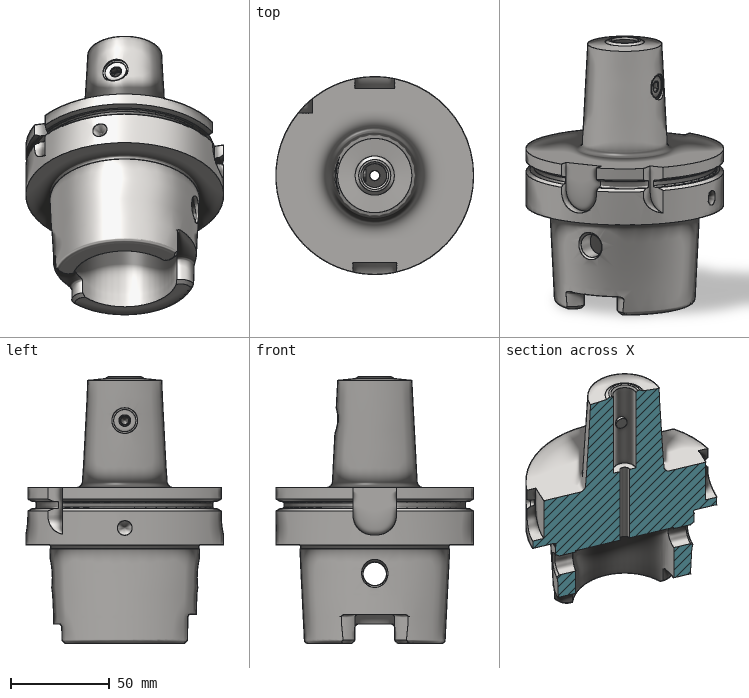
import cadquery as cq
import math


FLANGE_RADIUS = 50.0
FLANGE_HEIGHT = 29.0
GROOVE_CENTRE_Z = 20.1
GROOVE_MOUTH_WIDTH = 6.1
GROOVE_FLOOR_WIDTH = 3.7
GROOVE_BEVEL_ANGLE = 30.0
GROOVE_FLOOR_RADIUS = 45.9
GROOVE_FLOOR_FILLET = 0.8

SHANK_LENGTH = 49.9
SHANK_GAUGE_RADIUS = 37.5
SHANK_GAUGE_Z = -10.0
SHANK_TAPER = 1 / 9.98
SHANK_END_FILLET = 2.0
RELIEF_ROOT_RADIUS = 37.5
RELIEF_FACE_RADIUS = 38.4
RELIEF_CORNER = 0.9
RELIEF_LENGTH = 1.8
SHANK_BORE_RADIUS = 26.5
SHANK_BORE_TOP_Z = -8.0

TOTAL_TOP_Z = 85.0
NOSE_TOP_Z = 83.1
NOSE_TOP_RADIUS = 18.75
NOSE_HALF_ANGLE = 3.0
NOSE_ROOT_FILLET = 3.0
COLLAR_BASE_RADIUS = 9.9
COLLAR_BASE_Z = 84.0
COLLAR_TOP_RADIUS = 8.1

TOOL_BORE_RADIUS = 6.0
TOOL_BORE_DEPTH = 49.0
TOOL_BORE_CHAMFER = 1.0
COOLANT_RADIUS = 2.5

SCREW_Z = 62.75
SCREW_SEAT_RADIUS = 6.5
SCREW_RADIUS = 5.6
SCREW_SEAT_X = -18.4
SCREW_FACE_X = -17.9
SCREW_TIP_X = -4.3
SCREW_TIP_RADIUS = 3.0
SOCKET_FLATS = 5.0
SOCKET_DEPTH = 4.0
SOCKET_MOUTH_RADIUS = 2.95
SOCKET_CONE_RADIUS = 2.0
SOCKET_CONE_DEPTH = 1.2

SLOT_FLOOR_Y = 44.0
SLOT_END_Z = 5.0
SLOT_CORNER_RADIUS = 10.0
REAR_SLOT_WIDTH = 20.0
FRONT_SLOT_WIDTH = 22.0
NOTCH_WALL_X = -31.5
NOTCH_FLOOR_Y = 31.5

DIMPLE_Z = 8.5
DIMPLE_RADIUS = 3.7
DIMPLE_DEPTH = 3.7

CROSS_HOLE_Z = -14.7
CROSS_HOLE_RADIUS = 5.9
CROSS_SINK_START_Y = 35.6
CROSS_SINK_HALF_ANGLE = 35.0

KEYWAY_WIDTH = 20.0
FRONT_KEYWAY_TOP_Z = -35.1
REAR_KEYWAY_TOP_Z = -40.1
KEYWAY_CREST_Y = 31.85
KEYWAY_CORNER_RADIUS = 6.9
KEYWAY_RUNOUT_ANGLE = 25.0
KEYWAY_TOP_FILLET = 1.7
KEYWAY_END_CHAMFER = 1.7

MARGIN = 5.0


def tan_deg(angle):
    return math.tan(math.radians(angle))


def shank_radius(z):
    return SHANK_GAUGE_RADIUS + (z - SHANK_GAUGE_Z) * SHANK_TAPER / 2


def revolve_z(profile):
    return profile.close().revolve(360, (0, 0, 0), (0, 1, 0))


def cone_along(radius_start, radius_end, start, direction, length):
    """Cone or cylinder starting at a point and running along a direction."""
    origin = cq.Vector(*start)
    axis = cq.Vector(*direction)
    if radius_start == radius_end:
        return cq.Workplane(cq.Solid.makeCylinder(radius_start, length, origin, axis))
    return cq.Workplane(cq.Solid.makeCone(radius_start, radius_end, length, origin, axis))


def make_shank():
    cone_start_z = -RELIEF_LENGTH - (shank_radius(-RELIEF_LENGTH) - RELIEF_ROOT_RADIUS)
    profile = (
        cq.Workplane("XZ")
        .moveTo(0, -SHANK_LENGTH)
        .lineTo(shank_radius(-SHANK_LENGTH), -SHANK_LENGTH)
        .lineTo(shank_radius(cone_start_z), cone_start_z)
        .lineTo(RELIEF_ROOT_RADIUS, -RELIEF_LENGTH)
        .lineTo(RELIEF_ROOT_RADIUS, -RELIEF_CORNER)
        .radiusArc((RELIEF_FACE_RADIUS, 0), RELIEF_CORNER)
        .lineTo(0, 0)
    )
    return revolve_z(profile)


def make_flange():
    half_mouth = GROOVE_MOUTH_WIDTH / 2
    half_floor = GROOVE_FLOOR_WIDTH / 2
    fillet = GROOVE_FLOOR_FILLET
    bevel_radius = FLANGE_RADIUS - (half_mouth - half_floor) / tan_deg(GROOVE_BEVEL_ANGLE)
    profile = (
        cq.Workplane("XZ")
        .moveTo(0, 0)
        .lineTo(FLANGE_RADIUS, 0)
        .lineTo(FLANGE_RADIUS, GROOVE_CENTRE_Z - half_mouth)
        .lineTo(bevel_radius, GROOVE_CENTRE_Z - half_floor)
        .lineTo(GROOVE_FLOOR_RADIUS + fillet, GROOVE_CENTRE_Z - half_floor)
        .radiusArc((GROOVE_FLOOR_RADIUS, GROOVE_CENTRE_Z - half_floor + fillet), fillet)
        .lineTo(GROOVE_FLOOR_RADIUS, GROOVE_CENTRE_Z + half_floor - fillet)
        .radiusArc((GROOVE_FLOOR_RADIUS + fillet, GROOVE_CENTRE_Z + half_floor), fillet)
        .lineTo(bevel_radius, GROOVE_CENTRE_Z + half_floor)
        .lineTo(FLANGE_RADIUS, GROOVE_CENTRE_Z + half_mouth)
        .lineTo(FLANGE_RADIUS, FLANGE_HEIGHT)
        .lineTo(0, FLANGE_HEIGHT)
    )
    return revolve_z(profile)


def make_nose():
    slope = tan_deg(NOSE_HALF_ANGLE)
    lean = math.radians(NOSE_HALF_ANGLE)
    fillet_centre_z = FLANGE_HEIGHT + NOSE_ROOT_FILLET
    tangent_z = fillet_centre_z - NOSE_ROOT_FILLET * math.sin(lean)
    tangent_radius = NOSE_TOP_RADIUS + (NOSE_TOP_Z - tangent_z) * slope
    foot_radius = tangent_radius + NOSE_ROOT_FILLET * math.cos(lean)
    profile = (
        cq.Workplane("XZ")
        .moveTo(0, FLANGE_HEIGHT)
        .lineTo(foot_radius, FLANGE_HEIGHT)
        .radiusArc((tangent_radius, tangent_z), NOSE_ROOT_FILLET)
        .lineTo(NOSE_TOP_RADIUS, NOSE_TOP_Z)
        .lineTo(COLLAR_BASE_RADIUS, COLLAR_BASE_Z)
        .lineTo(COLLAR_TOP_RADIUS, TOTAL_TOP_Z)
        .lineTo(0, TOTAL_TOP_Z)
    )
    return revolve_z(profile)


def make_bores():
    """Stepped void on the axis: tool bore, coolant hole and hollow of the shank."""
    bore_floor_z = TOTAL_TOP_Z - TOOL_BORE_DEPTH
    profile = (
        cq.Workplane("XZ")
        .moveTo(0, TOTAL_TOP_Z)
        .lineTo(TOOL_BORE_RADIUS + TOOL_BORE_CHAMFER, TOTAL_TOP_Z)
        .lineTo(TOOL_BORE_RADIUS, TOTAL_TOP_Z - TOOL_BORE_CHAMFER)
        .lineTo(TOOL_BORE_RADIUS, bore_floor_z)
        .lineTo(COOLANT_RADIUS, bore_floor_z)
        .lineTo(COOLANT_RADIUS, SHANK_BORE_TOP_Z)
        .lineTo(SHANK_BORE_RADIUS, SHANK_BORE_TOP_Z)
        .lineTo(SHANK_BORE_RADIUS, -SHANK_LENGTH - MARGIN)
        .lineTo(0, -SHANK_LENGTH - MARGIN)
    )
    return revolve_z(profile)


def make_slot(centre_x, width, floor_y, side):
    """Slot open at the flange top, with rounded lower corners, cut from floor_y outwards."""
    half = width / 2
    half_flat = half - SLOT_CORNER_RADIUS
    top_z = FLANGE_HEIGHT + MARGIN
    corner_z = SLOT_END_Z + SLOT_CORNER_RADIUS
    profile = (
        cq.Workplane("XZ", origin=(centre_x, side * floor_y, 0))
        .moveTo(-half, top_z)
        .lineTo(-half, corner_z)
        .radiusArc((-half_flat, SLOT_END_Z), -SLOT_CORNER_RADIUS)
    )
    if half_flat > 0:
        profile = profile.lineTo(half_flat, SLOT_END_Z)
    profile = profile.radiusArc((half, corner_z), -SLOT_CORNER_RADIUS).lineTo(half, top_z).close()
    return profile.extrude(-side * (FLANGE_RADIUS + MARGIN - floor_y))


def make_dimple():
    start_x = -math.sqrt(FLANGE_RADIUS**2 - DIMPLE_RADIUS**2)
    mouth = cone_along(DIMPLE_RADIUS, DIMPLE_RADIUS, (start_x, 0, DIMPLE_Z), (-1, 0, 0), MARGIN)
    cone = cone_along(DIMPLE_RADIUS, 0, (start_x, 0, DIMPLE_Z), (1, 0, 0), DIMPLE_DEPTH)
    return mouth.union(cone)


def make_cross_hole(side):
    """Radial hole through the shank wall, countersunk on the outside."""
    sink_end_radius = CROSS_HOLE_RADIUS + MARGIN * tan_deg(CROSS_SINK_HALF_ANGLE)
    direction = (0, side, 0)
    hole = cone_along(
        CROSS_HOLE_RADIUS, CROSS_HOLE_RADIUS, (0, 0, CROSS_HOLE_Z), direction, SHANK_GAUGE_RADIUS + MARGIN
    )
    sink_start = (0, side * CROSS_SINK_START_Y, CROSS_HOLE_Z)
    sink = cone_along(CROSS_HOLE_RADIUS, sink_end_radius, sink_start, direction, MARGIN)
    return hole.union(sink)


def keyway_outline(z):
    """Outline of a keyway: a slot whose outer edges are rounded and run out at a slant."""
    half = KEYWAY_WIDTH / 2
    radius = KEYWAY_CORNER_RADIUS
    crest_x = half + radius
    runout_x = crest_x + MARGIN
    runout_y = KEYWAY_CREST_Y - MARGIN * tan_deg(KEYWAY_RUNOUT_ANGLE)
    outer_y = SHANK_GAUGE_RADIUS + MARGIN
    return (
        cq.Workplane("XY", origin=(0, 0, z))
        .moveTo(half, 0)
        .lineTo(half, KEYWAY_CREST_Y - radius)
        .radiusArc((crest_x, KEYWAY_CREST_Y), radius)
        .lineTo(runout_x, runout_y)
        .lineTo(runout_x, outer_y)
        .lineTo(-runout_x, outer_y)
        .lineTo(-runout_x, runout_y)
        .lineTo(-crest_x, KEYWAY_CREST_Y)
        .radiusArc((-half, KEYWAY_CREST_Y - radius), radius)
        .lineTo(-half, 0)
        .close()
    )


def make_keyway(top_z, side):
    """Drive keyway with a filleted top and a 45 degree flare at the open end."""
    slot = keyway_outline(top_z).extrude(-SHANK_LENGTH - top_z)
    slot = slot.faces(">Z").edges().fillet(KEYWAY_TOP_FILLET)
    flare_z = -SHANK_LENGTH + KEYWAY_END_CHAMFER
    flare = keyway_outline(flare_z).extrude(-KEYWAY_END_CHAMFER, taper=-45)
    cutter = slot.union(flare)
    if side < 0:
        cutter = cutter.mirror("XZ")
    return cutter


def make_screw_seat():
    """Spot-faced seat in the nose and the slightly deeper recess that holds the screw."""
    seat = cone_along(
        SCREW_SEAT_RADIUS, SCREW_SEAT_RADIUS, (SCREW_SEAT_X, 0, SCREW_Z), (-1, 0, 0), MARGIN
    )
    depth = SCREW_FACE_X - SCREW_SEAT_X
    recess = cone_along(SCREW_RADIUS, SCREW_RADIUS, (SCREW_SEAT_X, 0, SCREW_Z), (1, 0, 0), depth)
    return seat.union(recess)


def make_screw_tip():
    length = SCREW_TIP_X + NOSE_TOP_RADIUS / 2
    start = (SCREW_TIP_X - length, 0, SCREW_Z)
    return cone_along(SCREW_TIP_RADIUS, SCREW_TIP_RADIUS, start, (1, 0, 0), length)


def make_screw_socket():
    """Hexagon socket with a bevelled mouth and a drilled cone at its floor."""
    corner_diameter = SOCKET_FLATS / math.cos(math.radians(30))
    hexagon = (
        cq.Workplane("YZ", origin=(SCREW_FACE_X, 0, SCREW_Z))
        .transformed(rotate=(0, 0, 30))
        .polygon(6, corner_diameter)
        .extrude(SOCKET_DEPTH)
    )
    flat_radius = SOCKET_FLATS / 2
    mouth = cone_along(
        SOCKET_MOUTH_RADIUS,
        flat_radius,
        (SCREW_FACE_X, 0, SCREW_Z),
        (1, 0, 0),
        SOCKET_MOUTH_RADIUS - flat_radius,
    )
    floor_point = (SCREW_FACE_X + SOCKET_DEPTH, 0, SCREW_Z)
    drill = cone_along(SOCKET_CONE_RADIUS, 0, floor_point, (1, 0, 0), SOCKET_CONE_DEPTH)
    return hexagon.union(mouth).union(drill)


shank = make_shank().faces("<Z").edges().fillet(SHANK_END_FILLET)
shank = shank.cut(make_keyway(FRONT_KEYWAY_TOP_Z, -1))
shank = shank.cut(make_keyway(REAR_KEYWAY_TOP_Z, 1))
for side in (-1, 1):
    shank = shank.cut(make_cross_hole(side))

flange = make_flange()
flange = flange.cut(make_slot(0, FRONT_SLOT_WIDTH, SLOT_FLOOR_Y, -1))
flange = flange.cut(make_slot(0, REAR_SLOT_WIDTH, SLOT_FLOOR_Y, 1))
notch_centre_x = NOTCH_WALL_X - REAR_SLOT_WIDTH / 2
flange = flange.cut(make_slot(notch_centre_x, REAR_SLOT_WIDTH, NOTCH_FLOOR_Y, 1))
flange = flange.cut(make_dimple())

result = flange.union(shank).union(make_nose()).cut(make_bores())
result = result.cut(make_screw_seat()).union(make_screw_tip()).cut(make_screw_socket())